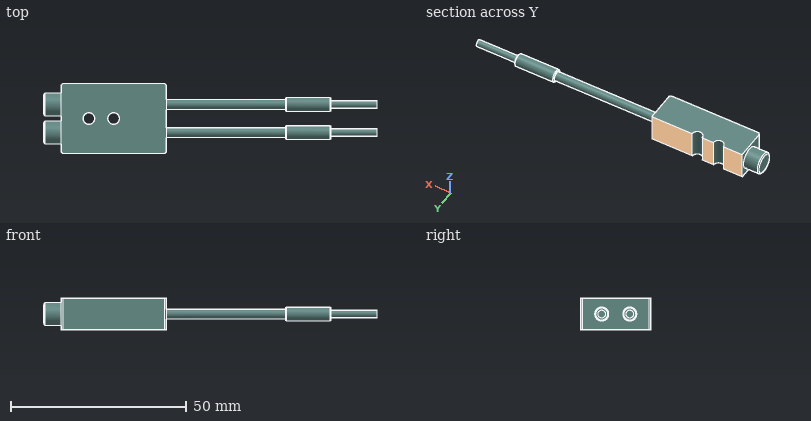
import cadquery as cq

total_length = 95.2
body_length = 30.0
body_width = 20.0
body_height = 9.0
body_corner = 0.5

line_spacing = 8.0
head_diameter = 6.7
head_length = 5.1
head_chamfer = 0.4
dome_height = 0.2
cable_diameter = 2.9
sleeve_diameter = 4.0
sleeve_length = 13.0
sleeve_chamfer = 0.3
tip_diameter = 2.2
tip_length = 13.1

hole_diameter = 3.2
hole_pitch = 7.0
first_hole_offset = 7.9

body_start = head_length
body_end = body_start + body_length
tip_start = total_length - tip_length
sleeve_start = tip_start - sleeve_length


def rod(start, length, diameter, y):
    """Solid cylinder along +X, centred on the mid-height of the body."""
    return cq.Workplane("YZ", origin=(start, y, 0)).circle(diameter / 2).extrude(length)


def make_body():
    body = cq.Workplane("XY").box(body_length, body_width, body_height)
    body = body.edges("|Z").chamfer(body_corner)
    body = body.translate((body_start + body_length / 2, 0, 0))
    first_hole = body_start + first_hole_offset
    hole_centres = [(first_hole, 0), (first_hole + hole_pitch, 0)]
    holes = cq.Workplane("XY").pushPoints(hole_centres).circle(hole_diameter / 2)
    return body.cut(holes.extrude(body_height, both=True))


def make_head(y):
    """Cylinder with a chamfered rim and a shallow spherical end face."""
    face_radius = head_diameter / 2 - head_chamfer
    dome_radius = (face_radius**2 + dome_height**2) / (2 * dome_height)
    shoulder = rod(dome_height, head_length - dome_height, head_diameter, y)
    shoulder = shoulder.faces("<X").chamfer(head_chamfer)
    cap = rod(0, head_length, 2 * face_radius, y)
    cap = cap.intersect(cq.Workplane("XY").sphere(dome_radius).translate((dome_radius, y, 0)))
    return shoulder.union(cap)


def make_cable(y):
    cable = rod(body_end, sleeve_start - body_end, cable_diameter, y)
    sleeve = rod(sleeve_start, sleeve_length, sleeve_diameter, y)
    sleeve = sleeve.edges().chamfer(sleeve_chamfer)
    tip = rod(tip_start, tip_length, tip_diameter, y)
    return cable.union(sleeve).union(tip)


result = make_body()
for line_y in (-line_spacing / 2, line_spacing / 2):
    result = result.union(make_head(line_y)).union(make_cable(line_y))